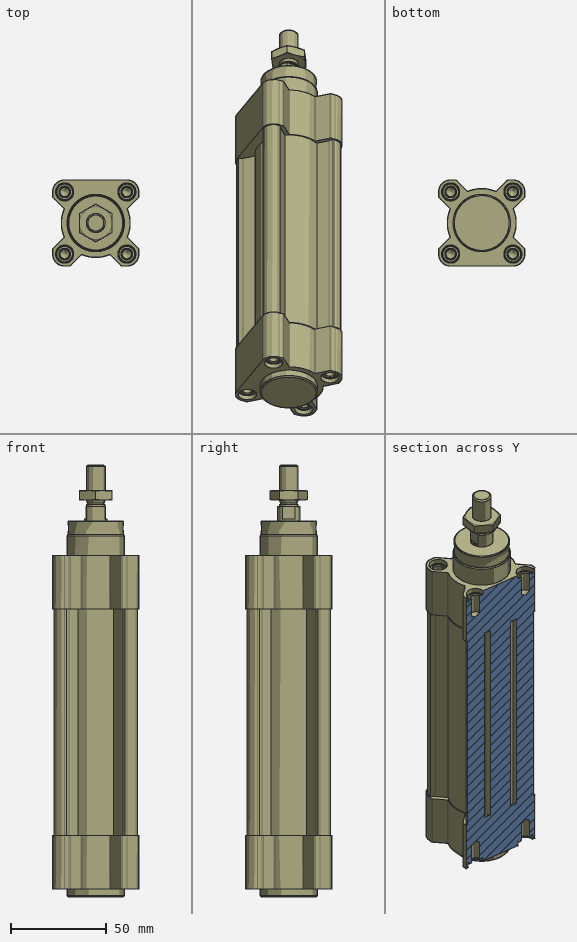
import cadquery as cq
import math

REAR_COVER_Z = 4.0
BARREL_Z = 32.0
COVER_HEIGHT = 28.0
FRONT_COVER_Z = 150.1
FRONT_FACE_Z = FRONT_COVER_Z + COVER_HEIGHT
COLLAR_TOP_Z = 188.9
CAP_TOP_Z = 196.0
FLATS_BOTTOM_Z = 197.0
SHANK_TOP_Z = 203.5
NECK_COLLAR_TOP_Z = 204.6
NECK_TOP_Z = 205.3
NUT_Z = 206.9
ROD_TIP_Z = 225.0

COVER_SIDE = 45.0
BARREL_SIDE = 43.7
COVER_RADIUS = 18.0
BARREL_RADIUS = 17.5
SCREW_OFFSET = 16.2
COVER_NOTCH_APEX = 9.0
BARREL_NOTCH_APEX = 5.9
BARREL_NOTCH_BEND = 14.0
BARREL_NOTCH_MOUTH = 15.3
COVER_LIP_FILLET = 1.0
COVER_ROOT_FILLET = 0.5

COLLAR_DIAMETER = 30.0
COLLAR_CHAMFER = 0.7
CAP_DIAMETER = 29.0
CAP_CHAMFER = 0.5
CAP_GROOVE_DEPTH = 0.2

RECESS_DIAMETER = 9.5
RECESS_DEPTH = 2.0
HEAD_DIAMETER = 9.0
HEAD_FACE_DIAMETER = 8.0
HEAD_GAP_DEPTH = 1.1
THREAD_DIAMETER = 6.0
THREAD_CORE_DIAMETER = 5.0
THREAD_DEPTH = 11.3
DRILL_POINT_HALF_ANGLE = 60.0

ROD_DIAMETER = 12.0
ROD_FLATS_WIDTH = 10.0
ROD_SOCKET_FLOOR_Z = FRONT_FACE_Z
NECK_COLLAR_DIAMETER = 9.5
NECK_DIAMETER = 8.5
ROD_THREAD_DIAMETER = 10.0
TIP_CHAMFER = 0.79
NUT_WIDTH = 17.0
NUT_SIDES = 6
NUT_HEIGHT = 5.0
NUT_FACE_DIAMETER = NUT_WIDTH
NUT_CHAMFER_ANGLE = 15.0


def cylinder(diameter, bottom, top):
    return cq.Workplane("XY").workplane(offset=bottom).circle(diameter / 2).extrude(top - bottom)


def revolved(outline):
    """Solid of revolution about Z from a closed outline drawn in radius and height."""
    return outline.close().revolve(360, (0, 0, 0), (0, 1, 0))


def four_lobed_body(side, radius, notch_side, bottom, height):
    """Round body with four corner lobes, separated by notches.

    notch_side lists the points of half a notch, as half-width and distance from the axis,
    from the notch apex to its mouth.
    """
    plane = cq.Workplane("XY").workplane(offset=bottom)
    lobes = plane.rect(side, side).extrude(height)
    lobes = lobes.edges("|Z").fillet(side / 2 - SCREW_OFFSET)
    other_side = [(-half_width, distance) for half_width, distance in reversed(notch_side[1:])]
    notch = plane.polyline(notch_side + other_side).close().extrude(height)
    for quarter in range(4):
        lobes = lobes.cut(notch.rotate((0, 0, 0), (0, 0, 1), 90 * quarter))
    return lobes.union(plane.circle(radius).extrude(height))


def make_barrel():
    mouth_distance = BARREL_SIDE / 2
    notch_side = [
        (0, BARREL_NOTCH_APEX),
        (BARREL_NOTCH_BEND, BARREL_NOTCH_APEX + BARREL_NOTCH_BEND),
        (BARREL_NOTCH_MOUTH, mouth_distance),
    ]
    return four_lobed_body(BARREL_SIDE, BARREL_RADIUS, notch_side, BARREL_Z, FRONT_COVER_Z - BARREL_Z)


def notch_edges(body, outermost):
    """Vertical edges on the notch sides of a cover: the outer lips or the inner roots."""

    def wanted(edge):
        x, y = abs(edge.Center().x), abs(edge.Center().y)
        on_notch_side = math.isclose(abs(x - y), COVER_NOTCH_APEX, abs_tol=0.02)
        return on_notch_side and (max(x, y) > COVER_RADIUS) == outermost

    return body.edges("|Z").filter(wanted)


def make_cover(bottom):
    """End cover: four lobes, with the notch on the +Y side filled in."""
    half_side = COVER_SIDE / 2
    notch_side = [(0, COVER_NOTCH_APEX), (half_side - COVER_NOTCH_APEX, half_side)]
    cover = four_lobed_body(COVER_SIDE, COVER_RADIUS, notch_side, bottom, COVER_HEIGHT)
    cover = notch_edges(cover, outermost=True).fillet(COVER_LIP_FILLET)
    cover = notch_edges(cover, outermost=False).fillet(COVER_ROOT_FILLET)
    fill = cq.Workplane("XY").box(2 * SCREW_OFFSET, half_side, COVER_HEIGHT, centered=(True, False, False))
    return cover.union(fill.translate((0, 0, bottom)))


def screw_recess():
    """Tool for one recessed screw, opening at Z = 0 and going down."""
    mouth_z = -RECESS_DEPTH
    gap_floor_z = mouth_z - HEAD_GAP_DEPTH
    recess = cylinder(RECESS_DIAMETER, gap_floor_z, 0)
    head = cylinder(HEAD_DIAMETER, gap_floor_z, mouth_z)
    head = head.faces(">Z").chamfer((HEAD_DIAMETER - HEAD_FACE_DIAMETER) / 2)
    core_radius = THREAD_CORE_DIAMETER / 2
    mouth_radius = THREAD_DIAMETER / 2
    bottom_z = mouth_z - THREAD_DEPTH
    point_height = core_radius / math.tan(math.radians(DRILL_POINT_HALF_ANGLE))
    thread = revolved(
        cq.Workplane("XZ")
        .moveTo(0, mouth_z)
        .lineTo(mouth_radius, mouth_z)
        .lineTo(core_radius, mouth_z - (mouth_radius - core_radius))
        .lineTo(core_radius, bottom_z)
        .lineTo(0, bottom_z - point_height)
    )
    return recess.cut(head).union(thread)


def grooved_cap():
    """Cap on the front collar, with a shallow groove rounded around its side."""
    radius = CAP_DIAMETER / 2
    middle_z = (COLLAR_TOP_Z + CAP_TOP_Z) / 2
    return revolved(
        cq.Workplane("XZ")
        .moveTo(0, COLLAR_TOP_Z)
        .lineTo(radius, COLLAR_TOP_Z)
        .threePointArc((radius - CAP_GROOVE_DEPTH, middle_z), (radius, CAP_TOP_Z - CAP_CHAMFER))
        .lineTo(radius - CAP_CHAMFER, CAP_TOP_Z)
        .lineTo(0, CAP_TOP_Z)
    )


def make_housing():
    """Barrel, both covers and their collars, with the screw recesses and a socket for the rod."""
    rear_collar = cylinder(COLLAR_DIAMETER, 0, REAR_COVER_Z).faces("<Z").chamfer(COLLAR_CHAMFER)
    front_collar = cylinder(COLLAR_DIAMETER, FRONT_FACE_Z, COLLAR_TOP_Z).faces(">Z").chamfer(COLLAR_CHAMFER)
    housing = make_barrel().union(make_cover(REAR_COVER_Z)).union(make_cover(FRONT_COVER_Z))
    housing = housing.union(rear_collar).union(front_collar).union(grooved_cap())

    front_recess = screw_recess().translate((0, 0, FRONT_FACE_Z))
    rear_recess = screw_recess().rotate((0, 0, 0), (1, 0, 0), 180).translate((0, 0, REAR_COVER_Z))
    for x in (-SCREW_OFFSET, SCREW_OFFSET):
        for y in (-SCREW_OFFSET, SCREW_OFFSET):
            housing = housing.cut(front_recess.translate((x, y, 0)))
            housing = housing.cut(rear_recess.translate((x, y, 0)))

    return housing.cut(cylinder(ROD_DIAMETER, ROD_SOCKET_FLOOR_Z, CAP_TOP_Z))


def make_piston_rod():
    """Rod with two wrench flats, a neck and a threaded end."""
    round_part = cylinder(ROD_DIAMETER, ROD_SOCKET_FLOOR_Z, FLATS_BOTTOM_Z)
    flats_height = SHANK_TOP_Z - FLATS_BOTTOM_Z
    between_flats = cq.Workplane("XY").box(
        ROD_FLATS_WIDTH, ROD_DIAMETER, flats_height, centered=(True, True, False)
    )
    flatted_part = cylinder(ROD_DIAMETER, FLATS_BOTTOM_Z, SHANK_TOP_Z).intersect(
        between_flats.translate((0, 0, FLATS_BOTTOM_Z))
    )
    threaded_end = revolved(
        cq.Workplane("XZ")
        .moveTo(0, SHANK_TOP_Z)
        .lineTo(NECK_COLLAR_DIAMETER / 2, SHANK_TOP_Z)
        .lineTo(NECK_COLLAR_DIAMETER / 2, NECK_COLLAR_TOP_Z)
        .lineTo(NECK_DIAMETER / 2, NECK_COLLAR_TOP_Z)
        .lineTo(NECK_DIAMETER / 2, NECK_TOP_Z)
        .lineTo(ROD_THREAD_DIAMETER / 2, NUT_Z)
        .lineTo(ROD_THREAD_DIAMETER / 2, ROD_TIP_Z - TIP_CHAMFER)
        .lineTo(ROD_THREAD_DIAMETER / 2 - TIP_CHAMFER, ROD_TIP_Z)
        .lineTo(0, ROD_TIP_Z)
    )
    return round_part.union(flatted_part).union(threaded_end)


def make_nut():
    """Hexagonal lock nut with its corners chamfered on both faces."""
    half_side_angle = 180 / NUT_SIDES
    corner_radius = NUT_WIDTH / 2 / math.cos(math.radians(half_side_angle))
    face_radius = NUT_FACE_DIAMETER / 2
    chamfer_drop = (corner_radius - face_radius) * math.tan(math.radians(NUT_CHAMFER_ANGLE))
    hexagon = (
        cq.Workplane("XY")
        .polygon(NUT_SIDES, 2 * corner_radius)
        .extrude(NUT_HEIGHT)
        .rotate((0, 0, 0), (0, 0, 1), half_side_angle)
    )
    rounding = revolved(
        cq.Workplane("XZ")
        .lineTo(face_radius, 0)
        .lineTo(corner_radius, chamfer_drop)
        .lineTo(corner_radius, NUT_HEIGHT - chamfer_drop)
        .lineTo(face_radius, NUT_HEIGHT)
        .lineTo(0, NUT_HEIGHT)
    )
    nut = hexagon.intersect(rounding).translate((0, 0, NUT_Z))
    return nut.cut(cylinder(ROD_THREAD_DIAMETER, NUT_Z, NUT_Z + NUT_HEIGHT))


housing = make_housing()
piston_rod = make_piston_rod()
nut = make_nut()

result = cq.Compound.makeCompound([housing.val(), piston_rod.val(), nut.val()])